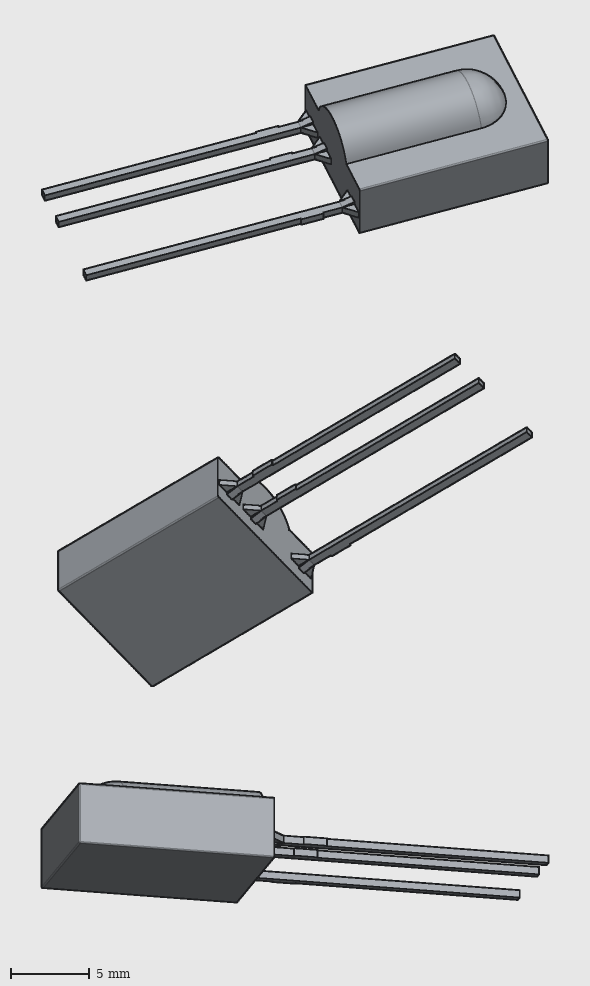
import cadquery as cq


total_length = 31.1
housing_width = 10.0
housing_length = 12.85
housing_height = 4.0
total_height = 5.8
edge_radius = 0.1

lens_radius = 2.75
lens_axis_height = total_height - lens_radius
lens_end_radius = 2.58
lens_straight_inset = 3.67
lens_length = housing_length - lens_straight_inset + lens_end_radius

lead_width = 0.55
lead_thickness = 0.5
lead_length = total_length - housing_length
lead_height = 1.55
outer_lead_offset = 3.8
inner_lead_offset = 1.28
leads = [(-outer_lead_offset, -1), (-inner_lead_offset, -1), (outer_lead_offset, 1)]

root_width = 2.1
root_thickness = 0.9
root_length = 0.85

bump_start = 2.15
bump_length = 1.52
bump_depth = 0.1


def make_block():
    """Rectangular block, rounded on every edge except those of the lead face."""
    block = cq.Workplane("XY").box(
        housing_width, housing_length, housing_height, centered=(True, False, False)
    )
    lead_face_edges = block.faces("<Y").edges().vals()
    rounded_edges = block.edges().filter(
        lambda edge: not any(edge.isSame(sharp) for sharp in lead_face_edges)
    )
    return rounded_edges.fillet(edge_radius)


def make_lens():
    """Lens ridge above the height of its axis, flush with the lead face."""
    axis_start = (0, 0, lens_axis_height)
    ridge = (
        cq.Workplane("XZ", origin=axis_start)
        .circle(lens_radius)
        .extrude(-lens_length)
        .faces(">Y")
        .edges()
        .fillet(lens_end_radius)
    )
    upper_half = cq.Workplane("XY", origin=axis_start).box(
        housing_width, housing_length, lens_radius, centered=(True, False, False)
    )
    return ridge.intersect(upper_half)


def make_root_flare(plane, wide, narrow, depth):
    """Trapezoid that narrows away from the housing, with the given depth across its plane."""
    return (
        cq.Workplane(plane)
        .polyline([
            (-wide / 2, 0),
            (wide / 2, 0),
            (narrow / 2, -root_length),
            (-narrow / 2, -root_length),
        ])
        .close()
        .extrude(depth / 2, both=True)
    )


def make_lead(x, bump_side):
    """Straight lead with a cross-shaped tapered root and a bump on one flank."""
    bar = cq.Workplane("XZ").rect(lead_width, lead_thickness).extrude(lead_length)
    side_flare = make_root_flare("XY", root_width, lead_width, lead_thickness)
    upright_plane = cq.Plane(origin=(0, 0, 0), xDir=(0, 0, 1), normal=(-1, 0, 0))
    upright_flare = make_root_flare(upright_plane, root_thickness, lead_thickness, lead_width)
    bump_reach = lead_width / 2 + bump_depth
    bump = (
        cq.Workplane("XZ", origin=(bump_side * bump_reach / 2, -bump_start, 0))
        .rect(bump_reach, lead_thickness)
        .extrude(bump_length)
    )
    lead = bar.union(side_flare).union(upright_flare).union(bump)
    return lead.translate((x, 0, lead_height))


housing = make_block().union(make_lens())
lead_solids = [make_lead(x, bump_side).val() for x, bump_side in leads]

result = cq.Compound.makeCompound([housing.val(), *lead_solids])